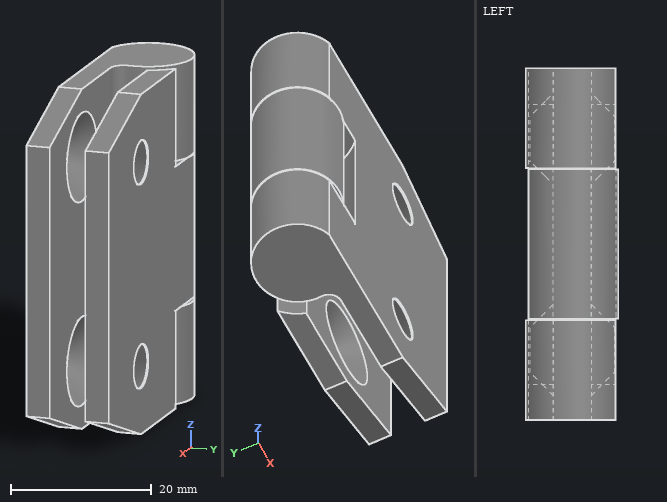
import cadquery as cq
import math

height = 50.0
leaf_reach = 35.0
barrel_radius = 6.6
pin_diameter = 6.0

leaf_outer = 6.2
leaf_thickness = 3.5
leaf_inner = leaf_outer - leaf_thickness
root_fillet = 2.0

taper_length = 14.0
taper_angle = 20.0
taper_drop = taper_length * math.tan(math.radians(taper_angle))
taper_start = leaf_reach - taper_length

hole_diameter = 6.4
hole_spacing = 30.0
hole_x = taper_start
countersink_diameter = 13.0
countersink_angle = 90.0

middle_knuckle_length = 21.2
knuckle_gap = 0.2
end_knuckle_start = middle_knuckle_length / 2 + knuckle_gap
clearance_radius = barrel_radius + root_fillet


def leaf_profile():
    """Barrel and leaf section for the leaf on the -Y side."""
    seat_x = -math.sqrt(barrel_radius**2 - leaf_outer**2)
    fillet_y = root_fillet - leaf_inner
    fillet_x = math.sqrt(clearance_radius**2 - fillet_y**2)
    barrel_share = barrel_radius / clearance_radius
    barrel_tangent = (fillet_x * barrel_share, fillet_y * barrel_share)
    leaf_direction = 1.5 * math.pi
    axis_direction = math.pi + math.atan2(fillet_y, fillet_x)
    middle_direction = (leaf_direction + axis_direction) / 2
    fillet_middle = (
        fillet_x + root_fillet * math.cos(middle_direction),
        fillet_y + root_fillet * math.sin(middle_direction),
    )
    return (
        cq.Workplane("XY", origin=(0, 0, -height / 2))
        .moveTo(seat_x, -leaf_outer)
        .lineTo(leaf_reach, -leaf_outer)
        .lineTo(leaf_reach, -leaf_inner)
        .lineTo(fillet_x, -leaf_inner)
        .threePointArc(fillet_middle, barrel_tangent)
        .threePointArc((-barrel_radius, 0), (seat_x, -leaf_outer))
        .close()
    )


def leaf_outline():
    """Prism of the leaf outline in the XZ plane, with tapered corners."""
    half_height = height / 2
    edge_half_height = half_height - taper_drop
    return (
        cq.Workplane("XZ")
        .polyline([
            (-barrel_radius, -half_height),
            (taper_start, -half_height),
            (leaf_reach, -edge_half_height),
            (leaf_reach, edge_half_height),
            (taper_start, half_height),
            (-barrel_radius, half_height),
        ])
        .close()
        .extrude(barrel_radius, both=True)
    )


def full_leaf():
    """Leaf on the -Y side with an unbroken barrel and countersunk screw holes."""
    inner_face = cq.Plane(origin=(0, -leaf_inner, 0), xDir=(-1, 0, 0), normal=(0, 1, 0))
    return (
        leaf_profile()
        .extrude(height)
        .intersect(leaf_outline())
        .copyWorkplane(cq.Workplane(inner_face))
        .pushPoints([(-hole_x, -hole_spacing / 2), (-hole_x, hole_spacing / 2)])
        .cskHole(hole_diameter, countersink_diameter, countersink_angle, depth=leaf_thickness)
    )


def clearance(bottom, length):
    """Round relief that makes room for a knuckle of the other leaf."""
    return cq.Workplane("XY", origin=(0, 0, bottom)).circle(clearance_radius).extrude(length)


def end_knuckle_leaf():
    return full_leaf().cut(clearance(-end_knuckle_start, 2 * end_knuckle_start))


def middle_knuckle_leaf():
    leaf = full_leaf().mirror("XZ")
    knuckle_end = middle_knuckle_length / 2
    relief_length = height / 2 - knuckle_end
    for bottom in (-height / 2, knuckle_end):
        leaf = leaf.cut(clearance(bottom, relief_length))
    return leaf


def pin():
    return cq.Workplane("XY", origin=(0, 0, -height / 2)).circle(pin_diameter / 2).extrude(height)


result = pin().union(end_knuckle_leaf(), clean=False).union(middle_knuckle_leaf(), clean=False)